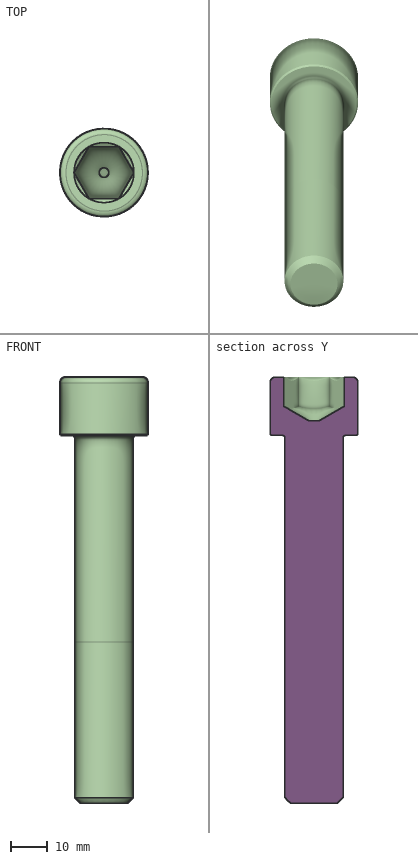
import cadquery as cq
import math

SHANK_DIAMETER = 16.0
SHANK_LENGTH = 100.0
THREAD_LENGTH = 44.0
TIP_CHAMFER = 1.6
TIP_DIAMETER = SHANK_DIAMETER - 2 * TIP_CHAMFER

HEAD_DIAMETER = 24.0
HEAD_HEIGHT = SHANK_DIAMETER
HEAD_TOP_FILLET = 1.6
HEAD_BOTTOM_CHAMFER = 0.4
NECK_FILLET = 0.6

HEX_ACROSS_FLATS = 14.12
HEX_ACROSS_CORNERS = HEX_ACROSS_FLATS / math.cos(math.radians(30))
HEX_DEPTH = 8.0
FLOOR_CONE_ANGLE = 120.0
FLOOR_FLAT_DIAMETER = 2.6
COUNTERSINK_ANGLE = 90.0


def make_body():
    """Revolve the half profile of head, plain shank and threaded length."""
    head_radius = HEAD_DIAMETER / 2
    shank_radius = SHANK_DIAMETER / 2
    fillet_middle = HEAD_TOP_FILLET * (1 - math.sqrt(0.5))
    neck_middle = NECK_FILLET * (1 - math.sqrt(0.5))
    return (
        cq.Workplane("XZ")
        .moveTo(0, -SHANK_LENGTH)
        .lineTo(TIP_DIAMETER / 2, -SHANK_LENGTH)
        .lineTo(shank_radius, -SHANK_LENGTH + TIP_CHAMFER)
        .lineTo(shank_radius, -SHANK_LENGTH + THREAD_LENGTH)
        .lineTo(shank_radius, -NECK_FILLET)
        .threePointArc(
            (shank_radius + neck_middle, -neck_middle),
            (shank_radius + NECK_FILLET, 0),
        )
        .lineTo(head_radius - HEAD_BOTTOM_CHAMFER, 0)
        .lineTo(head_radius, HEAD_BOTTOM_CHAMFER)
        .lineTo(head_radius, HEAD_HEIGHT - HEAD_TOP_FILLET)
        .threePointArc(
            (head_radius - fillet_middle, HEAD_HEIGHT - fillet_middle),
            (head_radius - HEAD_TOP_FILLET, HEAD_HEIGHT),
        )
        .lineTo(0, HEAD_HEIGHT)
        .close()
        .revolve(360, (0, 0), (0, 1), clean=False)
    )


def make_socket():
    """Hexagonal socket with a conical floor that ends in a small flat."""
    corner_radius = HEX_ACROSS_CORNERS / 2
    flat_radius = FLOOR_FLAT_DIAMETER / 2
    cone_height = (corner_radius - flat_radius) / math.tan(math.radians(FLOOR_CONE_ANGLE / 2))
    cone_top = HEAD_HEIGHT - HEX_DEPTH
    cone_bottom = cone_top - cone_height
    prism = (
        cq.Workplane("XY", origin=(0, 0, cone_bottom))
        .polygon(6, HEX_ACROSS_CORNERS)
        .extrude(HEAD_HEIGHT - cone_bottom)
    )
    floor_limit = (
        cq.Workplane("XZ")
        .moveTo(0, cone_bottom)
        .lineTo(flat_radius, cone_bottom)
        .lineTo(corner_radius, cone_top)
        .lineTo(corner_radius, HEAD_HEIGHT)
        .lineTo(0, HEAD_HEIGHT)
        .close()
        .revolve(360, (0, 0), (0, 1))
    )
    return prism.intersect(floor_limit)


def make_countersink():
    """Cone that bevels the socket mouth out to the circle through the hexagon corners."""
    mouth_radius = HEX_ACROSS_CORNERS / 2
    depth = mouth_radius / math.tan(math.radians(COUNTERSINK_ANGLE / 2))
    return (
        cq.Workplane("XZ")
        .moveTo(0, HEAD_HEIGHT)
        .lineTo(mouth_radius, HEAD_HEIGHT)
        .lineTo(0, HEAD_HEIGHT - depth)
        .close()
        .revolve(360, (0, 0), (0, 1))
    )


result = make_body().cut(make_socket(), clean=False).cut(make_countersink(), clean=False)